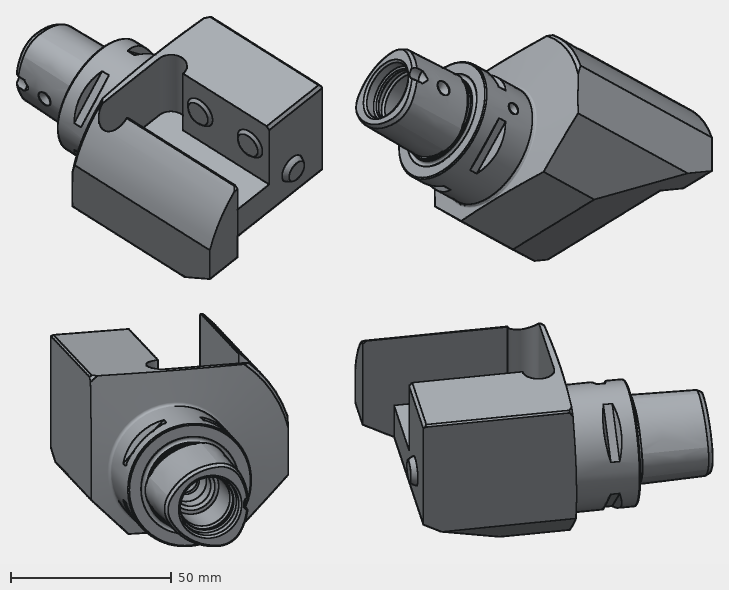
import cadquery as cq
import math

SHANK_END = 22.5
FLANGE_START = 24.0
HEAD_START = 45.0
BLOCK_END = 94.0
TOTAL_LENGTH = 104.0

STOCK_RADIUS = 40.0
STOCK_CHAMFER = 1.0
FACE_TILT = 5.0
SIDE_PLUS_Y = 26.0
SIDE_MINUS_Y = -38.0
TOP_Z = 31.0
BOTTOM_Z = -21.0
LOWER_CHAMFER_PLUS_Y = 12.0
LOWER_CHAMFER_MINUS_Y = 15.0
UNDERSIDE_SLOPE = 30.0
END_EDGE_CHAMFER = 1.0

SLOT_START = 48.0
SLOT_WALL_PLUS_Y = 1.0
SLOT_WALL_MINUS_Y = -25.0
SLOT_FLOOR_Z = 6.0
RELIEF_RADIUS = 5.0
RELIEF_YS = (SLOT_WALL_PLUS_Y, -25.4)

DRILL_TIP_ANGLE = 90.0

FLANGE_RADIUS = 20.0
FLANGE_CHAMFER = 0.4
FLARE_RADIUS = -BOTTOM_Z
NECK_RADIUS = 13.8
NECK_LENGTH = 0.8
HUB_RADIUS = 14.1
HUB_LENGTH = 0.3
FACE_GROOVE_RADIUS = 15.8
GROOVE_X = 31.9
GROOVE_FLOOR_WIDTH = 2.8
GROOVE_FLOOR_DISTANCE = 17.7
GROOVE_FLANK_ANGLE = 30.0
INDEX_HOLE_X = 36.0
INDEX_HOLE_RADIUS = 2.0
INDEX_HOLE_DEPTH = 0.3

LOBE_CENTRE = 6.1
LOBE_RADIUS = 8.7
SHANK_TAPER = math.degrees(math.atan(1 / 40))
SHANK_CHAMFER_LENGTH = 1.5
SHANK_CHAMFER_DROP = 0.7
SHANK_HOLE_X = 12.6
SHANK_HOLE_RADIUS = 2.5
SHANK_HOLE_DEPTH = 0.5
NOTCH_Y = -13.3
NOTCH_RADIUS = 2.5
NOTCH_DEPTH = 3.8

BORE_PROFILE = [
    (0, 10.2),
    (0.7, 9.5),
    (3.6, 9.5),
    (4.1, 8.7),
    (5.1, 8.7),
    (5.1, 9.2),
    (6.8, 9.2),
    (7.5, 8.4),
    (20.8, 8.4),
    (20.8, 7.2),
    (21.8, 6.1),
    (27.0, 6.1),
    (28.3, 4.2),
    (30.2, 4.2),
    (32.8, 0),
]

SCREW_XS = (65.2, 86.0)
SCREW_Z = 18.7
SCREW_RADIUS = 5.2
SCREW_TIP_RADIUS = 4.2
SCREW_PROTRUSION = 1.0
SCREW_SEAT_DEPTH = 10.4

NOZZLE_Y = 11.8
NOZZLE_Z = 5.2
NOZZLE_RADIUS = 4.9
NOZZLE_SINK = 1.4
NOZZLE_PROTRUSION = 2.0
CHANNEL_RADIUS = 1.2
CHANNEL_START = (30.2, 2.5, 1.1)


def revolved(profile):
    """Solid of revolution about the X axis from (x, radius) points."""
    return cq.Workplane("XY").polyline(profile).close().revolve(360, (0, 0, 0), (1, 0, 0))


def cylinder(start, direction, radius, length):
    return cq.Workplane(cq.Solid.makeCylinder(radius, length, cq.Vector(*start), cq.Vector(*direction)))


def drilled_hole(start, direction, radius, depth):
    """Hole with a conical bottom; `depth` is that of its cylindrical part."""
    axis = cq.Vector(*direction)
    bottom = cq.Vector(*start) + axis * depth
    tip_length = radius / math.tan(math.radians(DRILL_TIP_ANGLE / 2))
    cone = cq.Workplane(cq.Solid.makeCone(radius, 0, tip_length, bottom, axis))
    return cylinder(start, direction, radius, depth).union(cone)


def head_stock():
    """Round stock with a conical front face and a chamfered rim."""
    rim_radius = STOCK_RADIUS - STOCK_CHAMFER
    rim_x = HEAD_START + (rim_radius - FLARE_RADIUS) * math.tan(math.radians(FACE_TILT))
    return revolved([
        (HEAD_START, 0),
        (HEAD_START, FLARE_RADIUS),
        (rim_x, rim_radius),
        (rim_x + STOCK_CHAMFER, STOCK_RADIUS),
        (TOTAL_LENGTH, STOCK_RADIUS),
        (TOTAL_LENGTH, 0),
    ])


def head_section():
    """Flats on the sides, top and bottom, with the two lower corners cut at 45 degrees."""
    return (
        cq.Workplane("YZ")
        .polyline([
            (SIDE_PLUS_Y, TOP_Z),
            (SIDE_PLUS_Y, BOTTOM_Z + LOWER_CHAMFER_PLUS_Y),
            (SIDE_PLUS_Y - LOWER_CHAMFER_PLUS_Y, BOTTOM_Z),
            (SIDE_MINUS_Y + LOWER_CHAMFER_MINUS_Y, BOTTOM_Z),
            (SIDE_MINUS_Y, BOTTOM_Z + LOWER_CHAMFER_MINUS_Y),
            (SIDE_MINUS_Y, TOP_Z),
        ])
        .close()
        .extrude(TOTAL_LENGTH)
    )


def box(x_range, y_range, z_range):
    corner = [x_range[0], y_range[0], z_range[0]]
    size = [high - low for low, high in (x_range, y_range, z_range)]
    return cq.Workplane(cq.Solid.makeBox(*size, cq.Vector(*corner)))


def underside_cut():
    """Slope rising from the bottom to the axis height at the far end."""
    run = -BOTTOM_Z / math.tan(math.radians(UNDERSIDE_SLOPE))
    return (
        cq.Workplane("XZ")
        .polyline([(TOTAL_LENGTH, 0), (TOTAL_LENGTH, BOTTOM_Z), (TOTAL_LENGTH - run, BOTTOM_Z)])
        .close()
        .extrude(STOCK_RADIUS, both=True)
    )


def slot_cut():
    """Open-ended slot with round reliefs at both inner corners."""
    slot = box((SLOT_START + RELIEF_RADIUS, TOTAL_LENGTH), (SLOT_WALL_MINUS_Y, SLOT_WALL_PLUS_Y),
               (SLOT_FLOOR_Z, TOP_Z))
    reliefs = box((SLOT_START, SLOT_START + 2 * RELIEF_RADIUS), RELIEF_YS[::-1],
                  (SLOT_FLOOR_Z, TOP_Z))
    for relief_y in RELIEF_YS:
        corner = (SLOT_START + RELIEF_RADIUS, relief_y, SLOT_FLOOR_Z)
        reliefs = reliefs.union(cylinder(corner, (0, 0, 1), RELIEF_RADIUS, TOP_Z - SLOT_FLOOR_Z))
    return slot.union(reliefs)


def head():
    """Slotted block whose -Y wall reaches past its end, with the upper end edges chamfered."""
    beyond_block = box((BLOCK_END, TOTAL_LENGTH), (SLOT_WALL_MINUS_Y, STOCK_RADIUS),
                       (BOTTOM_Z, TOP_Z))
    block = head_stock().intersect(head_section()).cut(underside_cut()).cut(beyond_block)
    block = block.cut(slot_cut())
    ends = cq.selectors.BoxSelector(
        (BLOCK_END - END_EDGE_CHAMFER, SIDE_MINUS_Y, SLOT_FLOOR_Z),
        (TOTAL_LENGTH + END_EDGE_CHAMFER, SIDE_PLUS_Y, TOP_Z + END_EDGE_CHAMFER),
    )
    return block.edges("|Y").edges(ends).edges(">Z").chamfer(END_EDGE_CHAMFER)


def flange():
    """Flange with a short neck and hub, a round groove in its front face and a flare at the head."""
    groove_half_width = (FACE_GROOVE_RADIUS - HUB_RADIUS) / 2
    flare = FLARE_RADIUS - FLANGE_RADIUS
    flare_drop = flare * (1 - math.sqrt(0.5))
    return (
        cq.Workplane("XY")
        .moveTo(SHANK_END, 0)
        .lineTo(SHANK_END, NECK_RADIUS)
        .lineTo(SHANK_END + NECK_LENGTH, NECK_RADIUS)
        .lineTo(FLANGE_START - HUB_LENGTH, HUB_RADIUS)
        .lineTo(FLANGE_START, HUB_RADIUS)
        .threePointArc(
            (FLANGE_START + groove_half_width, HUB_RADIUS + groove_half_width),
            (FLANGE_START, FACE_GROOVE_RADIUS),
        )
        .lineTo(FLANGE_START, FLANGE_RADIUS - FLANGE_CHAMFER)
        .lineTo(FLANGE_START + FLANGE_CHAMFER, FLANGE_RADIUS)
        .lineTo(HEAD_START - flare, FLANGE_RADIUS)
        .threePointArc(
            (HEAD_START - flare_drop, FLARE_RADIUS - flare * math.sqrt(0.5)),
            (HEAD_START, FLARE_RADIUS),
        )
        .lineTo(HEAD_START, 0)
        .close()
        .revolve(360, (0, 0, 0), (1, 0, 0))
    )


def gripper_grooves():
    """Four grooves with sloping flanks, cut across the flange rim at 45 degrees to Y and Z."""
    depth = FLANGE_RADIUS - GROOVE_FLOOR_DISTANCE
    half_floor = GROOVE_FLOOR_WIDTH / 2
    half_top = half_floor + depth * math.tan(math.radians(GROOVE_FLANK_ANGLE))
    groove = (
        cq.Workplane("XZ")
        .polyline([
            (GROOVE_X - half_floor, GROOVE_FLOOR_DISTANCE),
            (GROOVE_X + half_floor, GROOVE_FLOOR_DISTANCE),
            (GROOVE_X + half_top, FLANGE_RADIUS),
            (GROOVE_X - half_top, FLANGE_RADIUS),
        ])
        .close()
        .extrude(FLANGE_RADIUS, both=True)
    )
    return [groove.rotate((0, 0, 0), (1, 0, 0), 45 + 90 * turn) for turn in range(4)]


def shank():
    """Rounded Reuleaux triangle: lobe arcs and opposite flat arcs share the lobe centres."""
    flat_radius = LOBE_RADIUS + LOBE_CENTRE * math.sqrt(3)

    def arc_point(lobe, radius, degrees):
        centre_angle = math.radians(120 * lobe)
        angle = math.radians(degrees)
        y = LOBE_CENTRE * math.cos(centre_angle) + radius * math.cos(angle)
        z = LOBE_CENTRE * math.sin(centre_angle) + radius * math.sin(angle)
        return (y, z)

    outline = cq.Workplane("YZ").workplane(offset=SHANK_END).moveTo(*arc_point(0, LOBE_RADIUS, -30))
    for lobe in range(3):
        turn = 120 * lobe
        outline = outline.threePointArc(
            arc_point(lobe, LOBE_RADIUS, turn), arc_point(lobe, LOBE_RADIUS, turn + 30))
        outline = outline.threePointArc(
            arc_point(lobe + 2, flat_radius, turn + 60), arc_point(lobe + 2, flat_radius, turn + 90))
    body = outline.close().extrude(-SHANK_END, taper=SHANK_TAPER)
    return body.faces("<X").chamfer(SHANK_CHAMFER_LENGTH, SHANK_CHAMFER_DROP)


def shank_cuts():
    flat_distance = LOBE_CENTRE * (math.sqrt(3) - 1) + LOBE_RADIUS
    return [
        revolved([(0, 0), *BORE_PROFILE]),
        drilled_hole((0, NOTCH_Y, 0), (1, 0, 0), NOTCH_RADIUS, NOTCH_DEPTH),
        drilled_hole((SHANK_HOLE_X, -flat_distance, 0), (0, 1, 0), SHANK_HOLE_RADIUS,
                     SHANK_HOLE_DEPTH),
    ]


def clamping_screw(x):
    """Round screw filling its seat in the slot wall, with a tapered tip standing proud of it."""
    seat_bottom = (x, SLOT_WALL_PLUS_Y + SCREW_SEAT_DEPTH, SCREW_Z)
    body = cylinder(seat_bottom, (0, -1, 0), SCREW_RADIUS, SCREW_SEAT_DEPTH)
    tip = cq.Solid.makeCone(SCREW_RADIUS, SCREW_TIP_RADIUS, SCREW_PROTRUSION,
                            cq.Vector(x, SLOT_WALL_PLUS_Y, SCREW_Z), cq.Vector(0, -1, 0))
    return body.union(cq.Workplane(tip))


def nozzle_centre():
    return cq.Vector(BLOCK_END - NOZZLE_SINK, NOZZLE_Y, NOZZLE_Z)


def coolant_nozzle():
    """Ball with a flat outer end, sunk past its centre into the end of the block."""
    ball = cq.Workplane("XY").sphere(NOZZLE_RADIUS).translate(nozzle_centre())
    envelope = cylinder((nozzle_centre() - cq.Vector(NOZZLE_RADIUS, 0, 0)).toTuple(), (1, 0, 0),
                        NOZZLE_RADIUS, NOZZLE_RADIUS + NOZZLE_SINK + NOZZLE_PROTRUSION)
    return ball.intersect(envelope)


def coolant_channel():
    """Straight sloping channel from the bottom of the bore to the nozzle."""
    run = nozzle_centre() - cq.Vector(*CHANNEL_START)
    return cylinder(CHANNEL_START, run.normalized().toTuple(), CHANNEL_RADIUS, run.Length)


def index_hole():
    return drilled_hole((INDEX_HOLE_X, -FLANGE_RADIUS, 0), (0, 1, 0), INDEX_HOLE_RADIUS,
                        INDEX_HOLE_DEPTH)


def holder(seated_bodies):
    """Head, flange and shank in one piece, with seats matching the bodies set into it."""
    body = head().union(flange()).union(shank())
    cuts = [*gripper_grooves(), *shank_cuts(), index_hole(), coolant_channel()]
    for cut in [*cuts, *seated_bodies]:
        body = body.cut(cut)
    return body


screws = [clamping_screw(x) for x in SCREW_XS]
nozzle = coolant_nozzle()
holder_body = holder([*screws, nozzle])

result = cq.Compound.makeCompound([
    holder_body.val(),
    *[screw.val() for screw in screws],
    nozzle.val(),
])